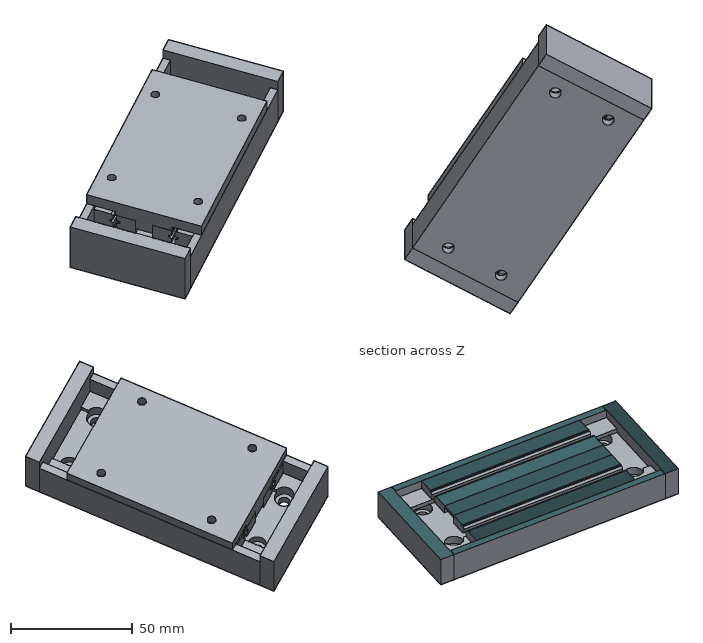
import cadquery as cq

stage_length = 114.3
stage_width = 50.7
stage_height = 24.9

end_plate_thickness = 6.4
end_plate_height = 24.2

base_length = stage_length - 2 * end_plate_thickness
base_height = 19.3
wall_thickness = 3.3
floor_height = 7.7
channel_half_width = stage_width / 2 - wall_thickness

mount_hole_diameter = 4.8
mount_bore_diameter = 8.0
mount_bore_depth = 3.8
mount_x = 12.7
mount_y = 43.2

rail_height = 7.8
rail_top = 17.4
rail_bottom = rail_top - rail_height
rail_chamfer = 0.9
groove_half_height = 1.3
relief_half_height = 0.4
relief_depth = 1.5
base_rail_inner_x = 13.6
rail_width = channel_half_width - base_rail_inner_x
rail_gap = 1.4
carriage_rail_outer_x = base_rail_inner_x - rail_gap
carriage_rail_inner_x = carriage_rail_outer_x - rail_width

carriage_length = 76.2
plate_clearance = 0.2
plate_bottom = base_height + plate_clearance
keel_bottom = 12.6
shoulder_half_width = 12.5
carriage_hole_diameter = 3.5
carriage_hole_x = 19.1
carriage_hole_y = 25.4


def block(x_min, x_max, length, z_min, z_max):
    """Rectangular block centred on the XZ plane."""
    return cq.Workplane("XY").box(
        x_max - x_min, length, z_max - z_min, centered=(False, True, False)
    ).translate((x_min, 0, z_min))


def make_base():
    """Channel with a rail ledge along each wall and counterbored mounting holes."""
    half_width = stage_width / 2
    base = block(-half_width, half_width, base_length, 0, base_height)
    base = base.cut(
        block(-channel_half_width, channel_half_width, base_length, floor_height, base_height)
    )
    left_ledge = block(
        -channel_half_width, -base_rail_inner_x, base_length, floor_height, rail_bottom
    )
    right_ledge = left_ledge.mirror("YZ")

    hole_centers = [(x, y) for x in (-mount_x, mount_x) for y in (-mount_y, mount_y)]
    holes = cq.Workplane("XY").pushPoints(hole_centers).circle(mount_hole_diameter / 2)
    bores = (
        cq.Workplane("XY", origin=(0, 0, floor_height - mount_bore_depth))
        .pushPoints(hole_centers)
        .circle(mount_bore_diameter / 2)
    )
    base = base.union(left_ledge).cut(holes.extrude(rail_bottom)).cut(bores.extrude(rail_bottom))
    return base.union(right_ledge)


def make_end_plate(side):
    """Plain plate closing one end of the channel; side is -1 or 1 along Y."""
    center_y = side * (stage_length - end_plate_thickness) / 2
    plate = block(-stage_width / 2, stage_width / 2, end_plate_thickness, 0, end_plate_height)
    return plate.translate((0, center_y, 0))


def make_carriage():
    """Top plate with a stepped keel that locates the two inner rails."""
    half_width = stage_width / 2
    plate = block(-half_width, half_width, carriage_length, plate_bottom, stage_height)
    shoulder = block(
        -shoulder_half_width, shoulder_half_width, carriage_length, rail_top, plate_bottom
    )
    keel = block(
        -carriage_rail_inner_x, carriage_rail_inner_x, carriage_length, keel_bottom, rail_top
    )
    return (
        plate.union(shoulder)
        .union(keel)
        .faces(">Z")
        .workplane(origin=(0, 0, stage_height))
        .rect(2 * carriage_hole_x, 2 * carriage_hole_y, forConstruction=True)
        .vertices()
        .hole(carriage_hole_diameter, stage_height - plate_bottom)
    )


def make_rail():
    """Rail along Y: V groove with a relief slot in the face at X = 0, body toward +X."""
    mid = rail_height / 2
    vee_depth = groove_half_height - relief_half_height
    profile = [
        (0, 0),
        (rail_width, 0),
        (rail_width, rail_height),
        (rail_chamfer, rail_height),
        (0, rail_height - rail_chamfer),
        (0, mid + groove_half_height),
        (vee_depth, mid + relief_half_height),
        (relief_depth, mid + relief_half_height),
        (relief_depth, mid - relief_half_height),
        (vee_depth, mid - relief_half_height),
        (0, mid - groove_half_height),
    ]
    return cq.Workplane("XZ").polyline(profile).close().extrude(carriage_length / 2, both=True)


def make_base_rails():
    """Rails resting on the ledges, grooves facing the middle."""
    right = make_rail().translate((base_rail_inner_x, 0, rail_bottom))
    return [right, right.mirror("YZ")]


def make_carriage_rails():
    """The same rails turned half a turn about Y, grooves facing the base rails."""
    turned = make_rail().rotate((0, 0, 0), (0, 1, 0), 180)
    right = turned.translate((carriage_rail_outer_x, 0, rail_top))
    return [right, right.mirror("YZ")]


base = make_base()
carriage = make_carriage()
end_plates = [make_end_plate(side) for side in (-1, 1)]
rails = make_base_rails() + make_carriage_rails()

bodies = [base, carriage] + end_plates + rails
result = cq.Compound.makeCompound([body.val() for body in bodies])